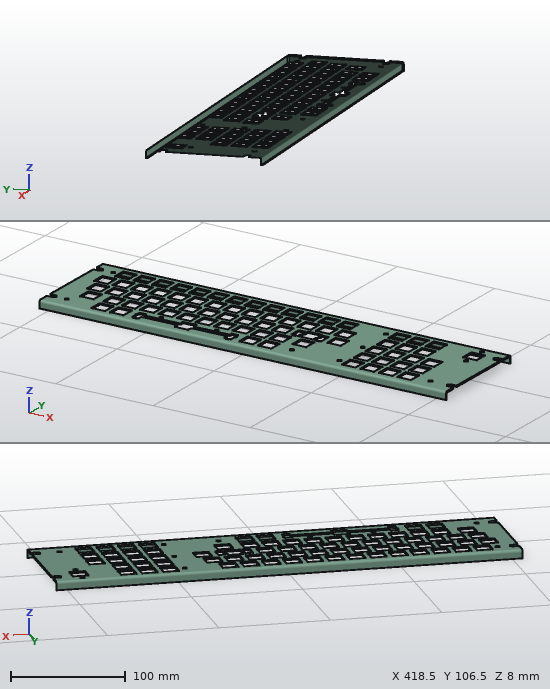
import cadquery as cq

PLATE_LENGTH = 418.5
PLATE_WIDTH = 106.5
FLANGE_HEIGHT = 8.0
SHEET_THICKNESS = 1.5
BEND_OUTER_RADIUS = 2.5
BEND_INNER_RADIUS = BEND_OUTER_RADIUS - SHEET_THICKNESS

KEY_PITCH = PLATE_LENGTH / 22
WEB_BETWEEN_KEYS = 5.0
SWITCH_SIZE = KEY_PITCH - WEB_BETWEEN_KEYS
FIRST_KEY_X = -177.5
NUMPAD_X = 104.3
LONE_KEY_X = 184.2
LONE_KEY_Y = 33.0
TOP_ROW_Y = 2 * KEY_PITCH

MAIN_ROWS = [
    [(0, 13)],
    [(-0.5, 14)],
    [(-0.25, 11), (11.25, 1), (12.75, 1)],
    [(0, 1), (1.25, 10), (11.5, 1)],
    [(1.25, 2), (5.75, 1), (9.25, 2)],
]
NUMPAD_ROW_COUNTS = [3, 3, 4, 4, 4]

STABILIZER_WIDTH = 6.5
STABILIZER_TOP = 5.5
STABILIZER_BOTTOM = -6.5
FOOT_NOTCH_WIDTH = 3.0
FOOT_NOTCH_DEPTH = 1.3
SIDE_NOTCH_DEPTH = 1.0
SIDE_NOTCH_HEIGHT = 3.0
SIDE_NOTCH_Y = 1.0

ENTER_COLUMN = 11.25
ENTER_ROW = 2
ENTER_STABILIZER_OFFSET = 12.0
ENTER_CHANNEL_HEIGHT = 3.8

SPACE_COLUMN = 5.75
SPACE_ROW = 4
SPACE_STABILIZER_OFFSET = 2.5 * KEY_PITCH
SPACE_CHANNEL_HEIGHT = 4.5

HOLE_DIAMETER = 3.8
LEFT_HOLE_X = -190.5
MIDDLE_HOLE_X = 90.5
LOWER_HOLE_COLUMN = 11.5
SPACE_HOLE_OFFSET = 1.5 * KEY_PITCH
SPACE_HOLE_RISE = 5.5
LONE_KEY_HOLE_OFFSET = 13.0

SLOT_DEPTH = 8.0
SLOT_WIDTH = 5.5
SLOT_Y = TOP_ROW_Y


def column_x(column):
    return FIRST_KEY_X + column * KEY_PITCH


def row_y(row):
    return TOP_ROW_Y - row * KEY_PITCH


def cutter(width, height, x, y):
    """Rectangular through-cutter centred on (x, y)."""
    return cq.Workplane("XY").box(width, height, 2 * FLANGE_HEIGHT).translate((x, y, 0))


def folded_sheet():
    """Channel with its top face at half the flange height, open downwards."""
    outer = cq.Workplane("XY").box(PLATE_LENGTH, PLATE_WIDTH, FLANGE_HEIGHT)
    outer = outer.edges("|X and >Z").fillet(BEND_OUTER_RADIUS)
    inner = cq.Workplane("XY").box(PLATE_LENGTH, PLATE_WIDTH - 2 * SHEET_THICKNESS, FLANGE_HEIGHT)
    inner = inner.edges("|X and >Z").fillet(BEND_INNER_RADIUS)
    return outer.cut(inner.translate((0, 0, -SHEET_THICKNESS)))


def switch_centers():
    centers = [(LONE_KEY_X, LONE_KEY_Y)]
    for row, runs in enumerate(MAIN_ROWS):
        for first_column, count in runs:
            for index in range(count):
                centers.append((column_x(first_column + index), row_y(row)))
    for row, count in enumerate(NUMPAD_ROW_COUNTS):
        for index in range(count):
            centers.append((NUMPAD_X + index * KEY_PITCH, row_y(row)))
    return centers


def stabilizer_cutter(x, y, offset, channel_height, side_notches):
    """Two mirrored stabilizer openings joined by a channel through the switch opening."""
    cut = cutter(2 * offset, channel_height, x, y)
    height = STABILIZER_TOP - STABILIZER_BOTTOM
    foot_height = height + FOOT_NOTCH_DEPTH
    for side in (-1, 1):
        center_x = x + side * offset
        body_y = y + STABILIZER_TOP - height / 2
        foot_y = y + STABILIZER_TOP - foot_height / 2
        cut = cut.union(cutter(STABILIZER_WIDTH, height, center_x, body_y))
        cut = cut.union(cutter(FOOT_NOTCH_WIDTH, foot_height, center_x, foot_y))
        if side_notches:
            notch_width = STABILIZER_WIDTH / 2 + SIDE_NOTCH_DEPTH
            notch_x = center_x + side * notch_width / 2
            cut = cut.union(cutter(notch_width, SIDE_NOTCH_HEIGHT, notch_x, y + SIDE_NOTCH_Y))
    return cut


def hole_centers():
    top, middle, bottom = row_y(0), row_y(2), row_y(4)
    space_x = column_x(SPACE_COLUMN)
    space_hole_y = row_y(SPACE_ROW) + SPACE_HOLE_RISE
    return [
        (LEFT_HOLE_X, top),
        (LEFT_HOLE_X, bottom),
        (MIDDLE_HOLE_X, top),
        (MIDDLE_HOLE_X, middle),
        (MIDDLE_HOLE_X, bottom),
        (column_x(LOWER_HOLE_COLUMN), bottom),
        (space_x - SPACE_HOLE_OFFSET, space_hole_y),
        (space_x + SPACE_HOLE_OFFSET, space_hole_y),
        (LONE_KEY_X, LONE_KEY_Y + LONE_KEY_HOLE_OFFSET),
        (LONE_KEY_X, LONE_KEY_Y - LONE_KEY_HOLE_OFFSET),
        (LONE_KEY_X, bottom),
    ]


def openings_at(centers):
    """Workplane at mid-height with a point at each opening centre."""
    return cq.Workplane("XY").pushPoints(centers)


def edge_slots():
    """Round-ended slots, centred on the short edges so that half of each opens outwards."""
    edge_x = PLATE_LENGTH / 2
    points = [(side * edge_x, y) for side in (-1, 1) for y in (-SLOT_Y, SLOT_Y)]
    return openings_at(points).slot2D(2 * SLOT_DEPTH, SLOT_WIDTH).extrude(FLANGE_HEIGHT)


switches = openings_at(switch_centers()).rect(SWITCH_SIZE, SWITCH_SIZE).extrude(FLANGE_HEIGHT)
holes = openings_at(hole_centers()).circle(HOLE_DIAMETER / 2).extrude(FLANGE_HEIGHT)
enter_stabilizers = stabilizer_cutter(
    column_x(ENTER_COLUMN), row_y(ENTER_ROW), ENTER_STABILIZER_OFFSET, ENTER_CHANNEL_HEIGHT, False
)
space_stabilizers = stabilizer_cutter(
    column_x(SPACE_COLUMN), row_y(SPACE_ROW), SPACE_STABILIZER_OFFSET, SPACE_CHANNEL_HEIGHT, True
)

result = folded_sheet()
for opening in (switches, holes, enter_stabilizers, space_stabilizers, edge_slots()):
    result = result.cut(opening)